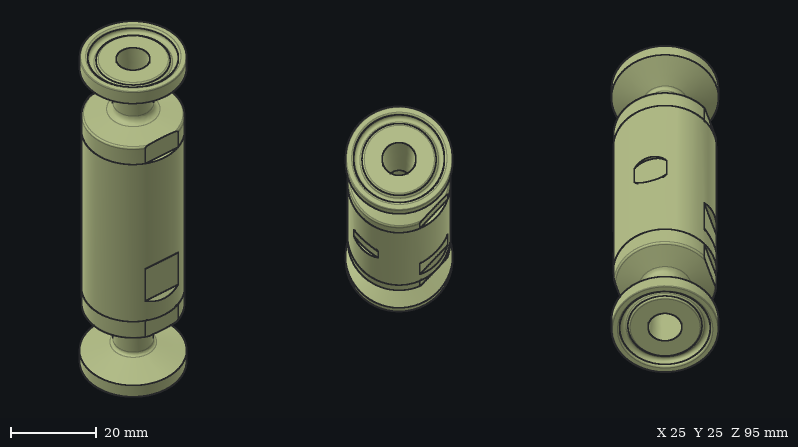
import cadquery as cq
import math

total_length = 95.0
fitting_length = 23.1
housing_length = total_length - 2 * fitting_length

body_radius = 24.0 / 2
flat_distance = 11.0
flat_depth = body_radius - flat_distance
housing_bore_radius = 6.0 / 2

pocket_center_z = 34.2
pocket_floor_length = 10.0

spot_face_radius = 9.5 / 2
spot_face_depth = 0.7

rim_radius = 25.0 / 2
rim_thickness = 3.7
rim_edge_radius = 0.2
ferrule_cone_angle = 20.0
neck_radius = 9.5 / 2
fitting_bore_radius = 8.0 / 2
neck_fillet_radius = 1.0

shoulder_angle = 15.0
shoulder_edge_z = 17.9
shoulder_fillet_radius = 2.0
collar_edge_radius = 0.6

face_recess = 0.9
groove_outer_radius = 21.1 / 2
groove_inner_radius = 17.3 / 2
groove_lip_radius = 0.6
groove_land_radius = 0.5
groove_depth = 1.9
groove_floor_radius = 18.3 / 2
groove_floor_z = 1.7


def cone_rise(radial_run, angle):
    """Axial rise of a cone over a radial distance."""
    return radial_run * math.tan(math.radians(angle))


def end_fitting_blank():
    """Revolved ferrule, neck and collar, with the ferrule face on z = 0."""
    ferrule_cone_end_z = rim_thickness + cone_rise(rim_radius - neck_radius, ferrule_cone_angle)
    shoulder_start_z = shoulder_edge_z - cone_rise(body_radius - neck_radius, shoulder_angle)
    blank = (
        cq.Workplane("XZ")
        .moveTo(0, 0)
        .lineTo(rim_radius, 0)
        .lineTo(rim_radius, rim_thickness)
        .lineTo(neck_radius, ferrule_cone_end_z)
        .lineTo(neck_radius, shoulder_start_z)
        .lineTo(body_radius, shoulder_edge_z)
        .lineTo(body_radius, fitting_length)
        .lineTo(0, fitting_length)
        .close()
        .revolve(360, (0, 0), (0, 1))
    )

    def edge_at(z):
        return cq.selectors.BoxSelector(
            (-rim_radius, -rim_radius, z - rim_edge_radius),
            (rim_radius, rim_radius, z + rim_edge_radius),
        )

    circles = blank.edges("%CIRCLE")
    blank = circles.edges(edge_at(0)).fillet(rim_edge_radius)
    blank = blank.edges("%CIRCLE").edges(edge_at(ferrule_cone_end_z)).fillet(neck_fillet_radius)
    blank = blank.edges("%CIRCLE").edges(edge_at(shoulder_start_z)).fillet(shoulder_fillet_radius)
    return blank.edges("%CIRCLE").edges(edge_at(shoulder_edge_z)).fillet(collar_edge_radius)


def ferrule_face_cut():
    """Revolved recess with a round-bottomed gasket groove at its outer edge."""
    lip_center_radius = groove_outer_radius + groove_lip_radius
    lip_offset = groove_lip_radius * math.sqrt(0.5)
    land_center_radius = groove_inner_radius - groove_land_radius
    land_end_z = face_recess + groove_land_radius
    land_offset = groove_land_radius * math.sqrt(0.5)
    groove_middle_radius = (groove_outer_radius + groove_floor_radius) / 2
    return (
        cq.Workplane("XZ")
        .moveTo(0, 0)
        .lineTo(lip_center_radius, 0)
        .threePointArc(
            (lip_center_radius - lip_offset, groove_lip_radius - lip_offset),
            (groove_outer_radius, groove_lip_radius),
        )
        .threePointArc((groove_middle_radius, groove_depth), (groove_floor_radius, groove_floor_z))
        .lineTo(groove_inner_radius, land_end_z)
        .threePointArc(
            (land_center_radius + land_offset, land_end_z - land_offset),
            (land_center_radius, face_recess),
        )
        .lineTo(0, face_recess)
        .close()
        .revolve(360, (0, 0), (0, 1))
    )


def make_end_fitting():
    """Lower end fitting, standing on z = 0 with its collar on top."""
    bore = cq.Workplane(
        cq.Solid.makeCone(fitting_bore_radius, housing_bore_radius, fitting_length)
    )
    fitting = end_fitting_blank().cut(ferrule_face_cut()).cut(bore)
    collar_height = fitting_length - shoulder_edge_z + collar_edge_radius
    for side in (-1, 1):
        flat = cq.Workplane("XY").box(
            2 * flat_depth, 2 * body_radius, collar_height
        ).translate((side * (flat_distance + flat_depth), 0, fitting_length - collar_height / 2))
        fitting = fitting.cut(flat)
    return fitting


def wrench_pocket():
    """Flat-bottomed pocket on the +X side with 45 degree end walls."""
    half_floor = pocket_floor_length / 2
    half_mouth = half_floor + flat_depth
    return (
        cq.Workplane("XZ")
        .moveTo(flat_distance, pocket_center_z - half_floor)
        .lineTo(body_radius, pocket_center_z - half_mouth)
        .lineTo(body_radius, pocket_center_z + half_mouth)
        .lineTo(flat_distance, pocket_center_z + half_floor)
        .close()
        .extrude(body_radius, both=True)
    )


def make_housing():
    """Bored cylinder between the two fittings, with pockets and spot face."""
    housing = (
        cq.Workplane("XY", origin=(0, 0, fitting_length))
        .circle(body_radius)
        .circle(housing_bore_radius)
        .extrude(housing_length)
    )
    pocket = wrench_pocket()
    housing = housing.cut(pocket).cut(pocket.mirror("YZ"))
    spot_face = (
        cq.Workplane("XZ", origin=(0, body_radius, total_length / 2))
        .circle(spot_face_radius)
        .extrude(spot_face_depth)
    )
    return housing.cut(spot_face)


housing = make_housing()

end_fittings = []
for turn in (0, 180):
    fitting = make_end_fitting().rotate(
        (0, 0, total_length / 2), (1, 0, total_length / 2), turn
    )
    end_fittings.append(fitting.val())

result = cq.Compound.makeCompound([housing.val(), *end_fittings])